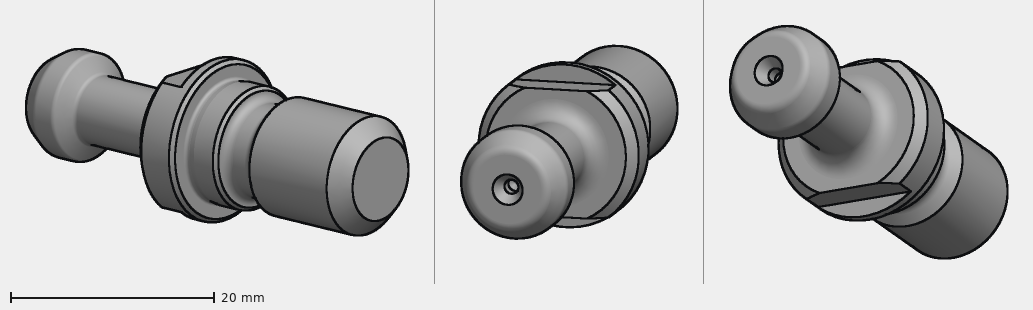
import cadquery as cq
import math

total_length = 43

nose_radius = 6.95 / 2
head_radius = 10.95 / 2
nose_cone_angle = 30
head_back_angle = 60
head_back_x = 4.95
head_round = 1.0
head_back_round = 0.5

shank_radius = 6.95 / 2
shank_fillet = 1.95

flange_front_x = 17.85
flange_back_x = 22.9
flange_radius = 16.4 / 2
flange_front_chamfer = 1.05
flange_back_chamfer = 0.45
flat_height = 6.4
flat_end_x = 21.35

relief_radius = 12.3 / 2
relief_fillet = 0.35
relief_end_x = 23.45
collar_radius = 12.5 / 2
collar_start_x = 24.1
collar_end_x = 26.9
collar_chamfer = 0.4

neck_radius = 9.5 / 2
neck_fillet = 0.95
thread_blend = 1.0
thread_radius = 12.0 / 2
thread_start_x = 31.1
thread_chamfer = 1.8

centre_mouth_radius = 3.05 / 2
centre_drill_radius = 1.4 / 2
centre_drill_length = 1.4
countersink_half_angle = 30
drill_tip_half_angle = 60


def rounded_outline(corners):
    """Closed outline through (x, radius, rounding) corners, with tangent arcs at rounded ones.

    The first and last corners must be sharp.
    """
    outline = cq.Workplane("XY").moveTo(*corners[0][:2])
    for before, corner, after in zip(corners, corners[1:], corners[2:]):
        point = cq.Vector(*corner[:2])
        rounding = corner[2]
        if rounding == 0:
            outline = outline.lineTo(point.x, point.y)
            continue
        to_before = (cq.Vector(*before[:2]) - point).normalized()
        to_after = (cq.Vector(*after[:2]) - point).normalized()
        half_angle = to_before.getAngle(to_after) / 2
        tangent_length = rounding / math.tan(half_angle)
        bisector = (to_before + to_after).normalized()
        arc_start = point + to_before * tangent_length
        arc_middle = point + bisector * (rounding / math.sin(half_angle) - rounding)
        arc_end = point + to_after * tangent_length
        outline = outline.lineTo(arc_start.x, arc_start.y)
        outline = outline.threePointArc((arc_middle.x, arc_middle.y), (arc_end.x, arc_end.y))
    return outline.lineTo(*corners[-1][:2]).close()


def revolve_about_x(outline):
    return outline.revolve(360, (0, 0), (1, 0))


def stud_body():
    nose_turn = math.radians(90 - nose_cone_angle)
    nose_corner = nose_radius + head_round * math.tan(nose_turn / 2)
    nose_cone_end = (head_radius - nose_corner) / math.tan(math.radians(nose_cone_angle))
    shank_start = head_back_x + (head_radius - shank_radius) / math.tan(math.radians(head_back_angle))
    neck_end = thread_start_x - (thread_radius - neck_radius)

    corners = [
        (0, 0, 0),
        (0, nose_corner, head_round),
        (nose_cone_end, head_radius, head_round),
        (head_back_x, head_radius, head_back_round),
        (shank_start, shank_radius, head_back_round),
        (flange_front_x, shank_radius, shank_fillet),
        (flange_front_x, flange_radius - flange_front_chamfer, 0),
        (flange_front_x + flange_front_chamfer, flange_radius, 0),
        (flange_back_x - flange_back_chamfer, flange_radius, 0),
        (flange_back_x, flange_radius - flange_back_chamfer, 0),
        (flange_back_x, relief_radius, relief_fillet),
        (relief_end_x, relief_radius, 0),
        (collar_start_x, collar_radius, 0),
        (collar_end_x - collar_chamfer, collar_radius, 0),
        (collar_end_x, collar_radius - collar_chamfer, 0),
        (collar_end_x, neck_radius, neck_fillet),
        (neck_end, neck_radius, thread_blend),
        (thread_start_x, thread_radius, 0),
        (total_length - thread_chamfer, thread_radius, 0),
        (total_length, thread_radius - thread_chamfer, 0),
        (total_length, 0, 0),
    ]
    return revolve_about_x(rounded_outline(corners))


def wrench_flat_cutter(side):
    """Block that clears the flange beyond one flat; side is +1 for the top, -1 for the bottom."""
    cut_length = flat_end_x - flange_front_x
    return cq.Workplane("XY").box(
        cut_length, 2 * flange_radius, flange_radius, centered=(False, True, True)
    ).translate((flange_front_x, 0, side * (flat_height + flange_radius / 2)))


def centre_hole():
    countersink_depth = (centre_mouth_radius - centre_drill_radius) / math.tan(
        math.radians(countersink_half_angle)
    )
    drill_end = countersink_depth + centre_drill_length
    tip_x = drill_end + centre_drill_radius / math.tan(math.radians(drill_tip_half_angle))
    outline = cq.Workplane("XY").polyline([
        (0, 0),
        (0, centre_mouth_radius),
        (countersink_depth, centre_drill_radius),
        (drill_end, centre_drill_radius),
        (tip_x, 0),
    ]).close()
    return revolve_about_x(outline)


result = stud_body()
for side in (1, -1):
    result = result.cut(wrench_flat_cutter(side))
result = result.cut(centre_hole())